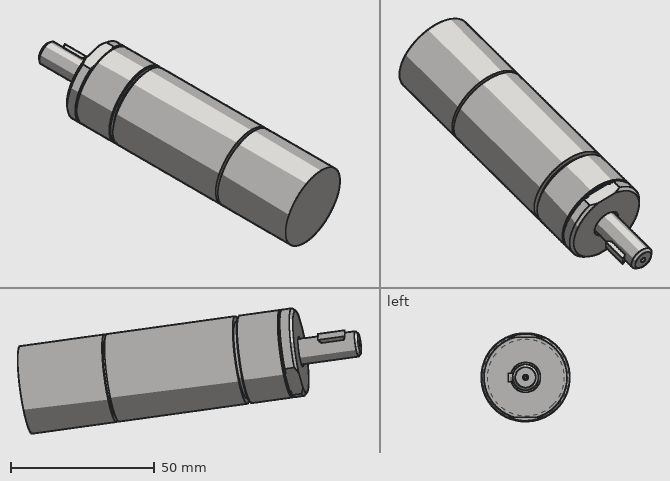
import cadquery as cq
import math

TOTAL_LENGTH = 118.7
BODY_DIAMETER = 31.0
BODY_RADIUS = BODY_DIAMETER / 2

FLANGE_FRONT = 20.9
FLANGE_BACK = 25.4
GEARBOX_FRONT = 25.8
GEARBOX_BACK = 40.8
MOTOR_FRONT = 42.1
MOTOR_BACK = 87.7
REAR_FRONT = 88.7

GROOVE_RADIUS = 26.8 / 2
FLANGE_FACE_RADIUS = 29.0 / 2
FLANGE_CHAMFER_LENGTH = 1.1
JOINT_RADIUS = 29.3 / 2
GEARBOX_CHAMFER = 0.4
FLAT_SPACING = 28.0

SHAFT_RADIUS = 9.0 / 2
SHAFT_CHAMFER = 1.0
RECESS_RADIUS = 10.5 / 2
RECESS_DEPTH = 3.0

CENTRE_HOLE_RADIUS = 1.0 / 2
CENTRE_CONE_RADIUS = 1.0
CENTRE_HOLE_DEPTH = 2.4
CONE_HALF_ANGLE = math.radians(30)
DRILL_TIP_HALF_ANGLE = math.radians(59)

KEY_DISC_RADIUS = 5.0
KEY_HEIGHT = 3.7
KEY_WIDTH = 3.0
KEY_CENTRE_X = 8.8
KEY_TOP_Y = 6.0


def make_turned_body():
    """Revolve the half section of shaft, flange and housing about the X axis."""
    chamfered_radius = BODY_RADIUS - GEARBOX_CHAMFER
    profile = [
        (0, 0),
        (0, SHAFT_RADIUS - SHAFT_CHAMFER),
        (SHAFT_CHAMFER, SHAFT_RADIUS),
        (FLANGE_FRONT + RECESS_DEPTH, SHAFT_RADIUS),
        (FLANGE_FRONT + RECESS_DEPTH, RECESS_RADIUS),
        (FLANGE_FRONT, RECESS_RADIUS),
        (FLANGE_FRONT, FLANGE_FACE_RADIUS),
        (FLANGE_FRONT + FLANGE_CHAMFER_LENGTH, BODY_RADIUS),
        (FLANGE_BACK, BODY_RADIUS),
        (FLANGE_BACK, JOINT_RADIUS),
        (GEARBOX_FRONT, JOINT_RADIUS),
        (GEARBOX_FRONT, chamfered_radius),
        (GEARBOX_FRONT + GEARBOX_CHAMFER, BODY_RADIUS),
        (GEARBOX_BACK - GEARBOX_CHAMFER, BODY_RADIUS),
        (GEARBOX_BACK, chamfered_radius),
        (GEARBOX_BACK, GROOVE_RADIUS),
        (MOTOR_FRONT, GROOVE_RADIUS),
        (MOTOR_FRONT, BODY_RADIUS),
        (MOTOR_BACK, BODY_RADIUS),
        (MOTOR_BACK, GROOVE_RADIUS),
        (REAR_FRONT, GROOVE_RADIUS),
        (REAR_FRONT, BODY_RADIUS),
        (TOTAL_LENGTH, BODY_RADIUS),
        (TOTAL_LENGTH, 0),
    ]
    return cq.Workplane("XY").polyline(profile).close().revolve(360, (0, 0, 0), (1, 0, 0))


def cut_flange_flats(body):
    """Mill two parallel wrench flats on the +Z and -Z sides, up to the gearbox."""
    flat_length = GEARBOX_FRONT - FLANGE_FRONT
    cut_height = (BODY_DIAMETER - FLAT_SPACING) / 2
    for side in (1, -1):
        cutter = cq.Workplane("XY").box(flat_length, BODY_DIAMETER, cut_height)
        cutter = cutter.translate(
            (FLANGE_FRONT + flat_length / 2, 0, side * (FLAT_SPACING + cut_height) / 2)
        )
        body = body.cut(cutter)
    return body


def make_centre_hole():
    """Centre drilling: a cone that narrows into a pilot hole with a pointed end."""
    cone_depth = (CENTRE_CONE_RADIUS - CENTRE_HOLE_RADIUS) / math.tan(CONE_HALF_ANGLE)
    drill_tip_depth = CENTRE_HOLE_RADIUS / math.tan(DRILL_TIP_HALF_ANGLE)
    profile = [
        (0, 0),
        (0, CENTRE_CONE_RADIUS),
        (cone_depth, CENTRE_HOLE_RADIUS),
        (CENTRE_HOLE_DEPTH, CENTRE_HOLE_RADIUS),
        (CENTRE_HOLE_DEPTH + drill_tip_depth, 0),
    ]
    return cq.Workplane("XY").polyline(profile).close().revolve(360, (0, 0, 0), (1, 0, 0))


def make_woodruff_key():
    """Disc segment with a flat top, its round side sunk into the shaft."""
    disc_centre_y = KEY_TOP_Y - KEY_HEIGHT + KEY_DISC_RADIUS
    half_chord = math.sqrt(KEY_DISC_RADIUS**2 - (disc_centre_y - KEY_TOP_Y) ** 2)
    return (
        cq.Workplane("XY")
        .moveTo(KEY_CENTRE_X - half_chord, KEY_TOP_Y)
        .threePointArc(
            (KEY_CENTRE_X, KEY_TOP_Y - KEY_HEIGHT),
            (KEY_CENTRE_X + half_chord, KEY_TOP_Y),
        )
        .close()
        .extrude(KEY_WIDTH / 2, both=True)
    )


result = cut_flange_flats(make_turned_body())
result = result.cut(make_centre_hole())
result = result.union(make_woodruff_key())